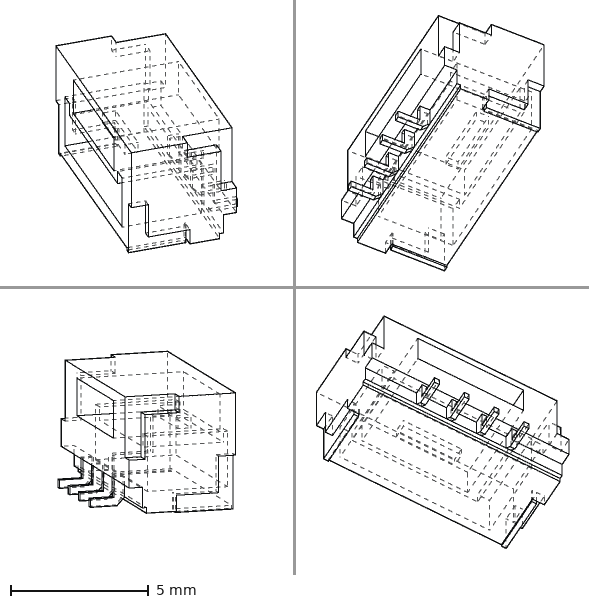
import cadquery as cq

width = 8.25
depth = 4.05
top_z = 4.35
bottom_z = 0.10
overall_depth = 4.85

rear_ledge_z = 1.07
rear_ledge_y = 3.55
lip_z = 0.31
lip_y = 3.40

rear_recess_inset = 0.5
rear_recess_arm = 0.6
rear_recess_front_y = 2.15
rear_recess_low_z = 2.10

front_recess_inset = 0.30
front_recess_arm_y = 0.65
front_recess_high_z = 2.05
front_recess_low_z = 0.70
front_recess_rear_y = 2.25
tab_thickness = 0.20
tab_gap = 0.05

window_width = 4.43
window_low_z = 2.56
window_high_z = 3.95
catch_width = 2.44
catch_height = 0.40
catch_front_y = 0.78
catch_thickness = 0.50

cavity_width = 6.26
cavity_low_z = 0.70
cavity_high_z = 2.25
cavity_depth = 3.05
key_width = 0.50
key_high_z = 2.75

contact_count = 4
contact_pitch = 1.25
contact_width = 0.20
contact_rear_y = 3.96
foot_thickness = 0.31
heel_y = 3.84


def block(x_range, y_range, z_range):
    """Box between the given limits along each axis."""
    (x0, x1), (y0, y1), (z0, z1) = x_range, y_range, z_range
    return cq.Workplane("XY").box(x1 - x0, y1 - y0, z1 - z0, centered=False).translate((x0, y0, z0))


def centred(size):
    """Limits of a span centred on X = 0."""
    return (-size / 2, size / 2)


def side_profile(points, start_x, thickness):
    """Solid with an outline of (Y, Z) points, extruded along +X from start_x."""
    return cq.Workplane("YZ").workplane(offset=start_x).polyline(points).close().extrude(thickness)


def both_ends(solid):
    """The solid together with its mirror image at the other end."""
    return solid.union(solid.mirror("YZ"))


def housing():
    outline = [
        (0, bottom_z),
        (lip_y, bottom_z),
        (lip_y, lip_z),
        (rear_ledge_y, lip_z),
        (rear_ledge_y, rear_ledge_z),
        (depth, rear_ledge_z),
        (depth, top_z),
        (0, top_z),
    ]
    return side_profile(outline, -width / 2, width)


def rear_recess():
    outline = [
        (depth, top_z),
        (rear_recess_front_y, top_z),
        (rear_recess_front_y, top_z - rear_recess_arm),
        (depth - rear_recess_arm, top_z - rear_recess_arm),
        (depth - rear_recess_arm, rear_recess_low_z),
        (depth, rear_recess_low_z),
    ]
    return both_ends(side_profile(outline, -width / 2, rear_recess_inset))


def front_l_outline(rear_y):
    """L-shaped outline with its upright at the mating face and its foot reaching back to rear_y."""
    return [
        (0, 0),
        (rear_y, 0),
        (rear_y, front_recess_low_z),
        (front_recess_arm_y, front_recess_low_z),
        (front_recess_arm_y, front_recess_high_z),
        (0, front_recess_high_z),
    ]


def front_recess():
    recess_depth = front_recess_inset + tab_thickness
    return both_ends(side_profile(front_l_outline(front_recess_rear_y), -width / 2, recess_depth))


def tabs():
    outline = front_l_outline(front_recess_rear_y - tab_gap)
    return both_ends(side_profile(outline, -width / 2 + front_recess_inset, tab_thickness))


def latch_window():
    return block(centred(window_width), (0, depth), (window_low_z, window_high_z))


def latch_catch():
    return block(
        centred(catch_width),
        (catch_front_y, catch_front_y + catch_thickness),
        (window_low_z, window_low_z + catch_height),
    )


def mating_cavity():
    main = block(centred(cavity_width), (0, cavity_depth), (cavity_low_z, cavity_high_z))
    key_x = (-cavity_width / 2, -cavity_width / 2 + key_width)
    keys = both_ends(block(key_x, (0, cavity_depth), (cavity_low_z, key_high_z)))
    return main.union(keys)


def contact(centre_x):
    outline = [
        (rear_ledge_y, rear_ledge_z),
        (rear_ledge_y, foot_thickness),
        (heel_y, 0),
        (overall_depth, 0),
        (overall_depth, foot_thickness),
        (contact_rear_y, foot_thickness),
        (contact_rear_y, rear_ledge_z),
    ]
    return side_profile(outline, centre_x - contact_width / 2, contact_width)


result = housing().cut(rear_recess()).cut(front_recess()).cut(latch_window()).cut(mating_cavity())
result = result.union(tabs()).union(latch_catch())
for index in range(contact_count):
    result = result.union(contact((index - (contact_count - 1) / 2) * contact_pitch))